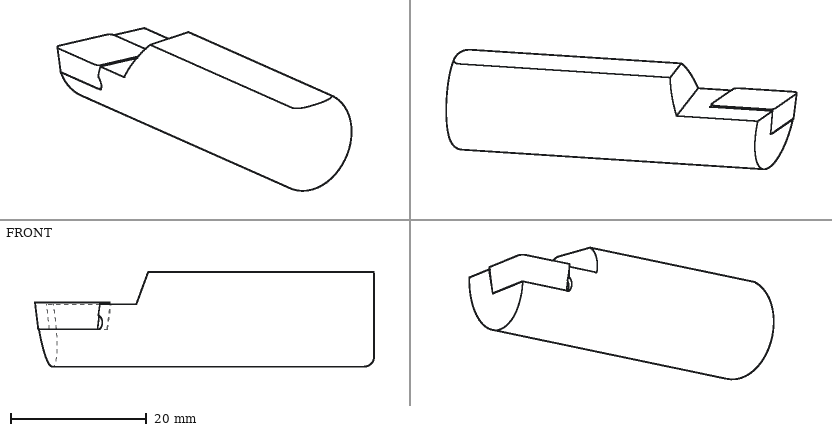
import cadquery as cq
import math

length = 50.0
shank_radius = 7.5
flat_height = 6.5
end_fillet = 1.5

shelf_height = 1.75
shelf_end = 14.95
step_end = 16.7
nose_x = 1.4

insert_width = 9.55
insert_thickness = 3.95
insert_top = 2.0
insert_tip_y = -7.8
insert_corner_radius = 0.8
clearance_angle = 7.0
pocket_overrun = 2.0
lead_angle = 10.0

relief_radius = 1.35
relief_z = -1.0
relief_x = 8.6
relief_end_y = -6.75

lead_slope = math.tan(math.radians(lead_angle))
clearance_slope = math.tan(math.radians(clearance_angle))
insert_back_y = insert_tip_y + insert_width
insert_bottom = insert_top - insert_thickness

tip_half_angle = math.radians((90 - lead_angle) / 2)
tip_x = insert_corner_radius * (1 - 1 / math.tan(tip_half_angle))
back_corner_x = tip_x + insert_width / math.cos(math.radians(lead_angle)) + insert_width * lead_slope


def tapered_rhombus(width, corner_radius=0):
    """Rhombic prism seated in the pocket's inner corner, narrowing downwards from the insert's top."""
    side = width / math.cos(math.radians(lead_angle))
    near_y = insert_back_y - width
    near_back_x = back_corner_x - width * lead_slope
    corners = [
        (near_back_x - side, near_y),
        (near_back_x, near_y),
        (back_corner_x, insert_back_y),
        (back_corner_x - side, insert_back_y),
    ]
    outline = cq.Sketch().polygon(corners + corners[:1])
    if corner_radius:
        outline = outline.vertices().fillet(corner_radius)
    return (
        cq.Workplane("XY", origin=(0, 0, insert_top))
        .placeSketch(outline)
        .extrude(-insert_thickness, taper=clearance_angle)
    )


def nose_cut():
    """Everything ahead of the front face, which leans back by the lead and clearance angles."""
    reach = 2 * shank_radius

    def section(z):
        setback = (shelf_height - z) * clearance_slope / math.cos(math.radians(lead_angle))
        face_x = nose_x + setback
        return cq.Wire.makePolygon(
            [
                cq.Vector(-reach, -reach, z),
                cq.Vector(face_x - reach * lead_slope, -reach, z),
                cq.Vector(face_x + reach * lead_slope, reach, z),
                cq.Vector(-reach, reach, z),
            ],
            close=True,
        )

    return cq.Workplane(cq.Solid.makeLoft([section(-reach), section(reach)], True))


def shelf_cut():
    """Room above the shelf, ending in a sloping step."""
    return (
        cq.Workplane("XZ")
        .polyline([
            (0, shelf_height),
            (shelf_end, shelf_height),
            (step_end, flat_height),
            (0, flat_height),
        ])
        .close()
        .extrude(shank_radius, both=True)
    )


def relief_recess():
    """Shallow round recess in the shank's side at the pocket's back wall, kept above the floor."""
    bar = (
        cq.Workplane("XZ", origin=(relief_x, relief_end_y, relief_z))
        .circle(relief_radius)
        .extrude(shank_radius)
    )
    above_floor = cq.Workplane("XY", origin=(0, 0, insert_bottom)).rect(
        2 * length, 4 * shank_radius
    ).extrude(insert_thickness)
    return bar.intersect(above_floor)


def make_shank():
    bar = cq.Workplane("YZ").circle(shank_radius).extrude(length)
    bar = bar.faces(">X").edges().fillet(end_fillet)
    above_flat = cq.Workplane("XY", origin=(0, 0, flat_height)).rect(
        2 * length, 2 * shank_radius
    ).extrude(shank_radius)
    return (
        bar.cut(above_flat)
        .cut(shelf_cut())
        .cut(nose_cut())
        .cut(tapered_rhombus(insert_width + pocket_overrun))
        .cut(relief_recess())
    )


shank = make_shank()
insert = tapered_rhombus(insert_width, insert_corner_radius)

result = cq.Compound.makeCompound([*shank.solids().vals(), *insert.solids().vals()])